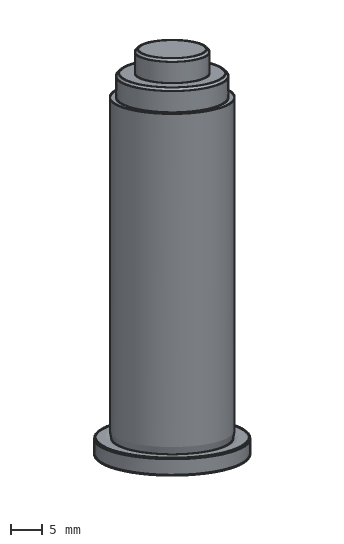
import cadquery as cq

flange_diameter = 25.0
body_diameter = 20.0
shoulder_diameter = 18.0
tip_diameter = 12.0

total_length = 68.0
foot_height = 0.5
flange_thickness = 3.0
shoulder_length = 4.0
tip_length = 4.0

step_chamfer = 0.5
flange_chamfer = 0.2

undercut_depth = 0.2
undercut_face_depth = 0.15
undercut_length = 1.1
undercut_face_width = 0.6

flange_top = foot_height + flange_thickness
shoulder_top = total_length - tip_length
body_top = shoulder_top - shoulder_length
body_radius = body_diameter / 2


def cylinder(diameter, bottom, top):
    return cq.Workplane("XY").workplane(offset=bottom).circle(diameter / 2).extrude(top - bottom)


def make_undercut():
    """Ring that tapers into the body and sinks slightly into the flange face."""
    floor_radius = body_radius - undercut_depth
    floor_height = flange_top - undercut_face_depth
    profile = (
        cq.Workplane("XZ")
        .moveTo(body_radius, flange_top + undercut_length)
        .lineTo(floor_radius, flange_top)
        .lineTo(floor_radius, floor_height)
        .lineTo(body_radius, floor_height)
        .lineTo(body_radius + undercut_face_width, flange_top)
        .lineTo(body_radius, flange_top)
        .close()
    )
    return profile.revolve(360, (0, 0, 0), (0, 1, 0))


foot = cylinder(body_diameter, 0, flange_top).faces("<Z").chamfer(foot_height)
flange = cylinder(flange_diameter, foot_height, flange_top).edges().chamfer(flange_chamfer)
body = cylinder(body_diameter, foot_height, body_top)
shoulder = cylinder(shoulder_diameter, body_top, shoulder_top).faces(">Z").chamfer(step_chamfer)
tip = cylinder(tip_diameter, shoulder_top, total_length).faces(">Z").chamfer(step_chamfer)

result = foot.union(flange).union(body).union(shoulder).union(tip).cut(make_undercut())